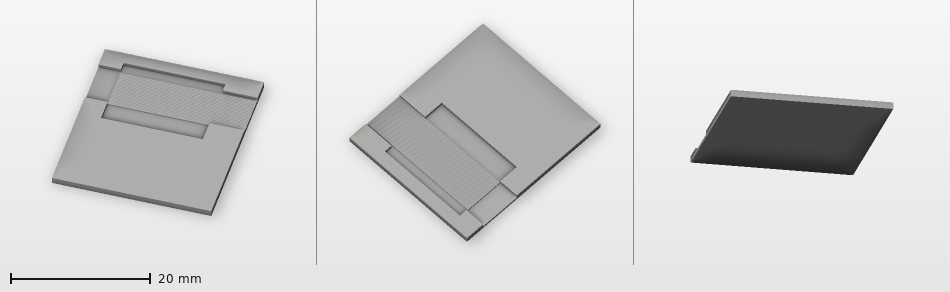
import cadquery as cq
import math

width = 23.75
length = 27.0
thickness = 1.0

floor_height = 0.43
channel_front = 3.4
channel_back = 10.23
pocket_front = 0.05
pocket_back = 11.55
pocket_inset = 3.38
pocket_width = 15.17

rib_count = 24
rib_pitch = 0.27
rib_radius = 0.15
rib_base_height = 0.08

left = -width / 2
pocket_left = left + pocket_inset
rib_axis_height = floor_height + rib_base_height
rib_top = rib_axis_height + rib_radius
valley_height = rib_axis_height + math.sqrt(rib_radius**2 - (rib_pitch / 2) ** 2)
rib_length = width - pocket_inset
cut_depth = thickness - floor_height

def recess(x_start, x_size, y_start, y_end):
    """Block that cuts from the top face down to the recess floor."""
    return (
        cq.Workplane("XY")
        .box(x_size, y_end - y_start, cut_depth, centered=False)
        .translate((x_start, y_start, floor_height))
    )

def rib_row():
    """Row of merging round-topped ribs, extruded from the pocket edge to the right side."""
    first_axis = channel_front + rib_pitch / 2
    profile = cq.Workplane("YZ", origin=(pocket_left, 0, 0)).moveTo(first_axis - rib_radius, 0)
    profile = profile.lineTo(first_axis - rib_radius, rib_axis_height)
    for index in range(rib_count - 1):
        axis = first_axis + index * rib_pitch
        profile = profile.threePointArc((axis, rib_top), (axis + rib_pitch / 2, valley_height))
    last_axis = first_axis + (rib_count - 1) * rib_pitch
    row_back = last_axis + rib_radius
    profile = profile.threePointArc((last_axis, rib_top), (row_back, rib_axis_height))
    return profile.lineTo(row_back, 0).close().extrude(rib_length)

plate = cq.Workplane("XY").box(width, length, thickness, centered=(True, True, False))
plate = plate.cut(recess(left, width, channel_front, channel_back))
plate = plate.cut(recess(pocket_left, pocket_width, pocket_front, pocket_back))
result = plate.union(rib_row())